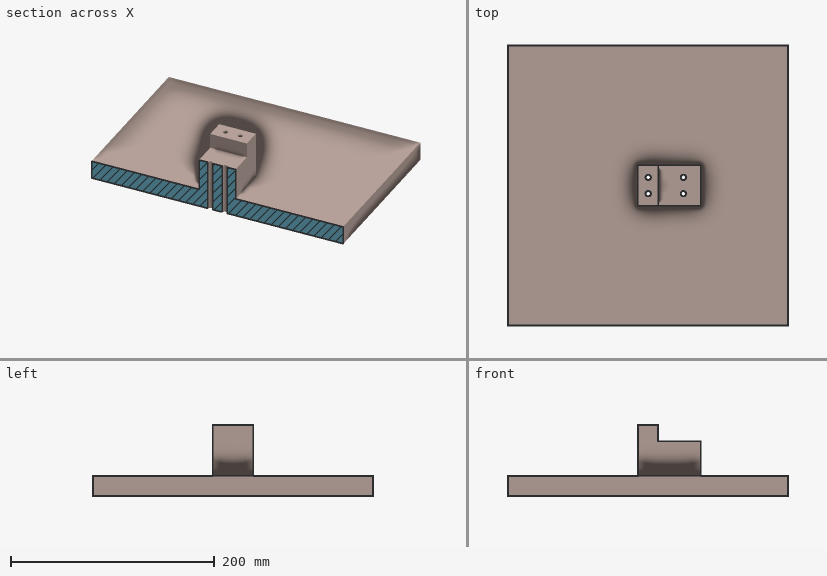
import cadquery as cq

plate_side = 274.83
plate_thickness = 20.0

block_width = 40.0
block_length = 62.0
block_height = 50.0
upper_step_length = 20.0
lower_step_height = 34.0
block_start_x = -upper_step_length / 2

hole_diameter = 5.0
hole_margin_x = 10.25
hole_pitch_x = 34.5
hole_pitch_y = 16.0

block_top_z = plate_thickness + block_height
lower_step_z = plate_thickness + lower_step_height


def make_plate():
    return cq.Workplane("XY").box(
        plate_side, plate_side, plate_thickness, centered=(True, True, False)
    )


def make_stepped_block():
    block_end_x = block_start_x + block_length
    step_x = block_start_x + upper_step_length
    profile = [
        (block_start_x, plate_thickness),
        (block_end_x, plate_thickness),
        (block_end_x, lower_step_z),
        (step_x, lower_step_z),
        (step_x, block_top_z),
        (block_start_x, block_top_z),
    ]
    return cq.Workplane("XZ").polyline(profile).close().extrude(block_width / 2, both=True)


def make_hole_cutters():
    first_pair_x = block_start_x + hole_margin_x
    centres = [
        (x, y)
        for x in (first_pair_x, first_pair_x + hole_pitch_x)
        for y in (-hole_pitch_y / 2, hole_pitch_y / 2)
    ]
    return (
        cq.Workplane("XY")
        .pushPoints(centres)
        .circle(hole_diameter / 2)
        .extrude(block_top_z)
    )


result = make_plate().union(make_stepped_block()).cut(make_hole_cutters())